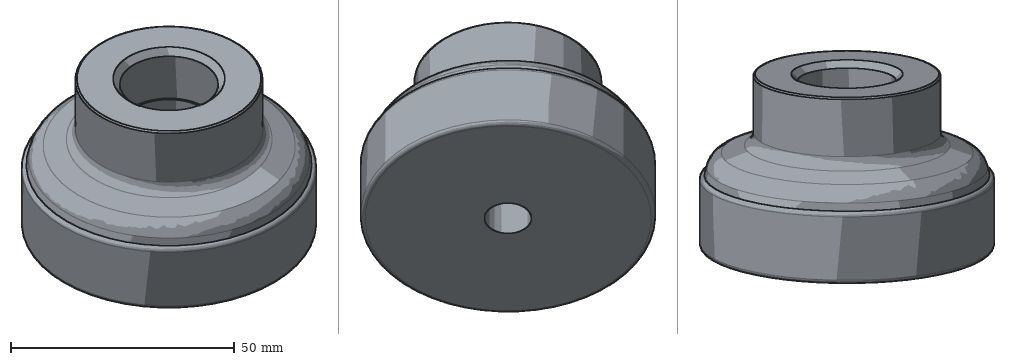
import cadquery as cq
import math

base_diameter = 66.0
base_height = 16.6
base_edge_radius = 1.0
bolt_hole_diameter = 10.5

total_height = 40.0
neck_diameter = 42.0
neck_edge_chamfer = 0.4
foot_diameter = 63.9
foot_draft = 15.0
shoulder_slope = 1 / 3
slope_start_z = 24.3
neck_fillet = 3.0
shoulder_fillet = 5.0

bore_diameter = 22.0
bore_chamfer = 1.5
step_z = 27.05
lower_bore_diameter = 21.0

neck_radius = neck_diameter / 2
foot_radius = foot_diameter / 2

draft_ratio = math.tan(math.radians(foot_draft))
slope_z_at_foot = slope_start_z - shoulder_slope * (foot_radius - neck_radius)
shoulder_rise = (slope_z_at_foot - base_height) / (1 - shoulder_slope * draft_ratio)
shoulder_z = base_height + shoulder_rise
shoulder_radius = foot_radius - shoulder_rise * draft_ratio


def edge_at_height(height):
    """Select the circular edges centred on the axis at the given height."""
    tolerance = 0.005
    return cq.selectors.BoxSelector(
        (-tolerance, -tolerance, height - tolerance),
        (tolerance, tolerance, height + tolerance),
    )


def make_base():
    """Round disc with rounded rims and a bolt hole through its centre."""
    disc = cq.Workplane("XY").circle(base_diameter / 2).extrude(base_height)
    disc = disc.edges().fillet(base_edge_radius)
    bolt_hole = cq.Workplane("XY").circle(bolt_hole_diameter / 2).extrude(base_height)
    return disc.cut(bolt_hole)


def make_hub_body():
    """Solid of revolution: drafted foot, sloping shoulder and straight neck."""
    outline = [
        (0, base_height),
        (foot_radius, base_height),
        (shoulder_radius, shoulder_z),
        (neck_radius, slope_start_z),
        (neck_radius, total_height),
        (0, total_height),
    ]
    body = cq.Workplane("XZ").polyline(outline).close().revolve(360, (0, 0), (0, 1))
    body = body.edges(edge_at_height(shoulder_z)).fillet(shoulder_fillet)
    body = body.edges(edge_at_height(slope_start_z)).fillet(neck_fillet)
    return body.edges(edge_at_height(total_height)).chamfer(neck_edge_chamfer)


def make_hub_bore():
    """Stepped bore through the hub, widened by a chamfer at its mouth."""
    bore_radius = bore_diameter / 2
    lower_radius = lower_bore_diameter / 2
    outline = [
        (0, base_height),
        (lower_radius, base_height),
        (lower_radius, step_z),
        (bore_radius, step_z),
        (bore_radius, total_height - bore_chamfer),
        (bore_radius + bore_chamfer, total_height),
        (0, total_height),
    ]
    return cq.Workplane("XZ").polyline(outline).close().revolve(360, (0, 0), (0, 1))


base = make_base()
hub = make_hub_body().cut(make_hub_bore())

result = cq.Compound.makeCompound([base.val(), hub.val()])